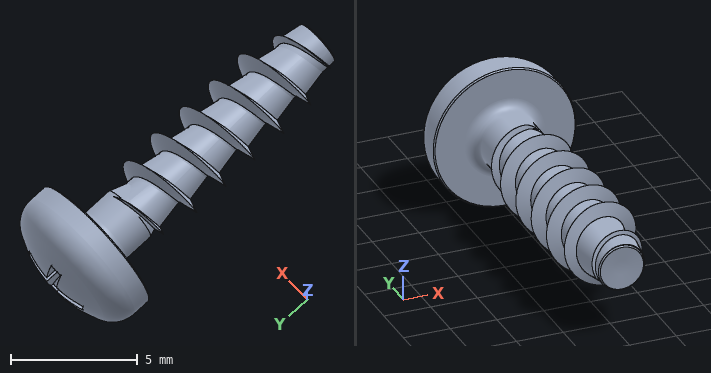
import cadquery as cq
import math


head_radius = 3.05
dome_apex = 2.47
dome_radius = 5.03
dome_edge_radius = 2.38
rim_height = 0.81
rim_chamfer = 0.06

recess_width = 0.56
recess_depth = 1.45
recess_mouth_reach = 1.55
recess_wall_depth = 0.36
recess_floor_reach = 0.58
cutter_clearance = 0.15

shank_radius = 1.23
shank_length = 1.75
neck_fillet = 0.49
shank_taper = 0.72
core_radius = 0.98
tip_depth = 12.0
tip_chamfer = 0.06
tip_dimple = 0.06

thread_turns = 6
thread_advance = 9.42
pitch = thread_advance / thread_turns
crest_offset = 1.39
crest_radius = 1.75
flank_angle = 17.0
root_radius = 0.94
ramp_top_radius = 1.18
ramp_end_radius = 0.97
ramp_length = 1.31
shoulder_drop = 0.17
hidden_crest_radius = 1.2
points_per_span = 20

crest_stations = [
    (0.58, hidden_crest_radius),
    (1.59, hidden_crest_radius),
    (shank_length, 1.4),
    (3.47, crest_radius),
    (9.68, crest_radius),
    (11.7, 1.05),
]


def head_and_shank():
    """Head, neck fillet, shank and plain core as one revolved outline."""
    dome_center = dome_apex - dome_radius
    dome_mid_radius = dome_edge_radius / 2
    dome_mid = dome_center + math.sqrt(dome_radius**2 - dome_mid_radius**2)
    dome_edge = dome_center + math.sqrt(dome_radius**2 - dome_edge_radius**2)
    rise = dome_edge - rim_height
    inset = head_radius - dome_edge_radius
    shoulder_radius = (rise**2 + inset**2) / (2 * inset)
    outline = (
        cq.Workplane("XY")
        .moveTo(0, dome_apex)
        .threePointArc((dome_mid_radius, dome_mid), (dome_edge_radius, dome_edge))
        .radiusArc((head_radius, rim_height), shoulder_radius)
        .lineTo(head_radius, rim_chamfer)
        .lineTo(head_radius - rim_chamfer, 0)
        .lineTo(shank_radius + neck_fillet, 0)
        .radiusArc((shank_radius, -neck_fillet), -neck_fillet)
        .lineTo(shank_radius, -shank_length)
        .lineTo(core_radius, -shank_length - shank_taper)
        .lineTo(core_radius, -tip_depth + tip_chamfer)
        .lineTo(core_radius - tip_chamfer, -tip_depth)
        .lineTo(0, -tip_depth + tip_dimple)
        .close()
    )
    return outline.revolve(360, (0, 0, 0), (0, 1, 0))


def recess_wing():
    """One wing of the cross recess, lying along X and tapering towards its floor."""
    mouth = dome_apex + cutter_clearance
    floor = dome_apex - recess_depth
    wall_foot = dome_apex - recess_wall_depth
    outline = [
        (-recess_floor_reach, floor),
        (recess_floor_reach, floor),
        (recess_mouth_reach, wall_foot),
        (recess_mouth_reach, mouth),
        (-recess_mouth_reach, mouth),
        (-recess_mouth_reach, wall_foot),
    ]
    return cq.Workplane("XY").polyline(outline).close().extrude(recess_width / 2, both=True)


def thread_profile(crest):
    """Corners of the thread section as (radius, shift towards the tip from the crest)."""
    flank = math.tan(math.radians(flank_angle))
    ramp_top = min(ramp_top_radius, max(ramp_end_radius, crest - shoulder_drop))
    return [
        (root_radius, (root_radius - crest) * flank),
        (crest, 0),
        (ramp_top, (crest - ramp_top) * flank),
        (ramp_end_radius, ramp_length),
        (root_radius, ramp_length),
    ]


def thread_points(depth, crest):
    """Corners of the thread section placed where the crest helix reaches the given depth."""
    angle = 2 * math.pi * (depth - crest_offset) / pitch
    return [
        cq.Vector(radius * math.cos(angle), -depth - shift, radius * math.sin(angle))
        for radius, shift in thread_profile(crest)
    ]


def thread_span(start, end):
    """Helical faces between two (depth, crest radius) positions at most half a turn apart."""
    fractions = [step / points_per_span for step in range(points_per_span + 1)]
    sections = [
        thread_points(start[0] + (end[0] - start[0]) * f, start[1] + (end[1] - start[1]) * f)
        for f in fractions
    ]
    edges = [cq.Edge.makeSpline(list(path), parameters=fractions) for path in zip(*sections)]
    return [cq.Face.makeRuledSurface(a, b) for a, b in zip(edges, edges[1:] + edges[:1])]


def thread():
    """The thread as one closed solid, cut off where it would pass the tip."""
    positions = [crest_stations[0]]
    for (depth_a, crest_a), (depth_b, crest_b) in zip(crest_stations, crest_stations[1:]):
        spans = math.ceil((depth_b - depth_a) / (pitch / 2))
        for step in range(1, spans + 1):
            f = step / spans
            positions.append((depth_a + (depth_b - depth_a) * f, crest_a + (crest_b - crest_a) * f))
    faces = []
    for start, end in zip(positions, positions[1:]):
        faces += thread_span(start, end)
    for position in (positions[0], positions[-1]):
        loop = cq.Wire.makePolygon(thread_points(*position), close=True)
        faces.append(cq.Face.makeFromWires(loop))
    solid = cq.Solid.makeSolid(cq.Shell.makeShell(faces)).fix()
    tip_plane = cq.Workplane("XZ", origin=(0, tip_chamfer - tip_depth, 0))
    beyond_tip = tip_plane.circle(head_radius).extrude(2 * pitch)
    return cq.Workplane(solid).cut(beyond_tip, clean=False)


wing = recess_wing()
cross = wing.union(wing.rotate((0, 0, 0), (0, 1, 0), 90))
result = head_and_shank().cut(cross).union(thread(), clean=False).solids()